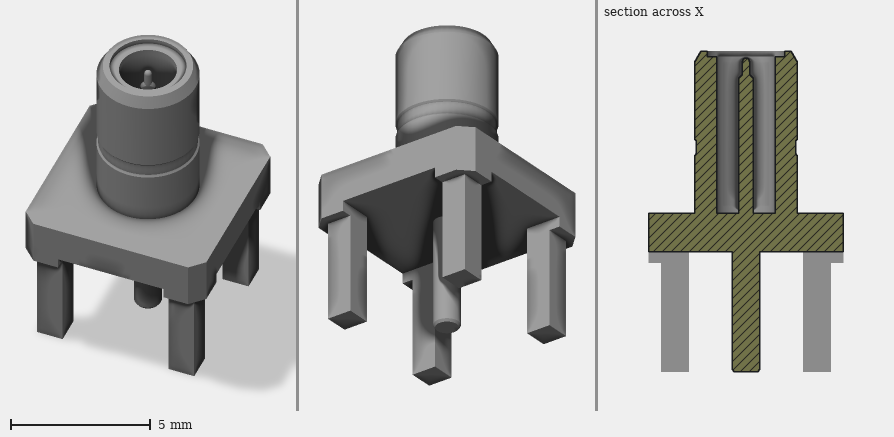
import cadquery as cq

base_width = 7.0
base_height = 1.8
corner_chamfer = 0.5
foot_height = 0.4

leg_width = 1.0
leg_pitch = 5.1
leg_length = 3.9
leg_centre = leg_pitch / 2
foot_inner_edge = leg_centre - leg_width / 2

barrel_radius = 1.85
barrel_height = 5.8
barrel_top = base_height + barrel_height
rim_radius = 1.62
rim_chamfer_height = 0.4

groove_depth = 0.06
groove_flank_height = 0.08
groove_width = 0.61
groove_offset = 3.15
groove_top = barrel_top - groove_offset
groove_bottom = groove_top - groove_width
groove_radius = barrel_radius - groove_depth

recess_radius = 1.38
recess_depth = 0.2
bore_radius = 1.04
bore_floor = base_height

tip_radius = 0.135
tip_recess = 0.25
tip_top = barrel_top - tip_recess
shoulder_recess = 0.85
shoulder_top = barrel_top - shoulder_recess
stem_radius = 0.27
shoulder_height = stem_radius - tip_radius

pin_radius = 0.5
pin_end_radius = 0.43
pin_chamfer_height = 0.1


def make_base():
    """Plate with chamfered corners, relieved by a cross to leave four feet."""
    plate = (
        cq.Workplane("XY")
        .rect(base_width, base_width)
        .extrude(base_height)
        .edges("|Z")
        .chamfer(corner_chamfer)
    )
    relief_width = 2 * foot_inner_edge
    relief_x = cq.Workplane("XY").rect(base_width, relief_width).extrude(foot_height)
    relief_y = cq.Workplane("XY").rect(relief_width, base_width).extrude(foot_height)
    return plate.cut(relief_x).cut(relief_y)


def make_legs():
    """Four square legs below the feet."""
    return (
        cq.Workplane("XY")
        .rect(leg_pitch, leg_pitch, forConstruction=True)
        .vertices()
        .rect(leg_width, leg_width)
        .extrude(-leg_length)
    )


def revolve_profile(profile):
    """Turn a closed (radius, height) profile about the Z axis."""
    return profile.close().revolve(360, (0, 0, 0), (0, 1, 0))


def make_barrel():
    """Hollow barrel with a chamfered rim, outer groove and stepped mouth."""
    recess_floor = barrel_top - recess_depth
    return revolve_profile(
        cq.Workplane("XZ")
        .moveTo(bore_radius, bore_floor)
        .lineTo(barrel_radius, bore_floor)
        .lineTo(barrel_radius, groove_bottom)
        .lineTo(groove_radius, groove_bottom + groove_flank_height)
        .lineTo(groove_radius, groove_top - groove_flank_height)
        .lineTo(barrel_radius, groove_top)
        .lineTo(barrel_radius, barrel_top - rim_chamfer_height)
        .lineTo(rim_radius, barrel_top)
        .lineTo(recess_radius, barrel_top)
        .lineTo(recess_radius, recess_floor)
        .lineTo(bore_radius, recess_floor)
    )


def make_contact():
    """Centre contact standing on the bore floor, with a hemispherical nose."""
    nose_base = tip_top - tip_radius
    return revolve_profile(
        cq.Workplane("XZ")
        .moveTo(0, bore_floor)
        .lineTo(stem_radius, bore_floor)
        .lineTo(stem_radius, shoulder_top - shoulder_height)
        .lineTo(tip_radius, shoulder_top)
        .lineTo(tip_radius, nose_base)
        .radiusArc((0, tip_top), -tip_radius)
    )


def make_solder_pin():
    """Round pin from the plate underside down to the leg ends, chamfered at its end."""
    return revolve_profile(
        cq.Workplane("XZ")
        .moveTo(0, -leg_length)
        .lineTo(pin_end_radius, -leg_length)
        .lineTo(pin_radius, -leg_length + pin_chamfer_height)
        .lineTo(pin_radius, foot_height)
        .lineTo(0, foot_height)
    )


result = (
    make_base()
    .union(make_legs())
    .union(make_barrel())
    .union(make_contact())
    .union(make_solder_pin())
)